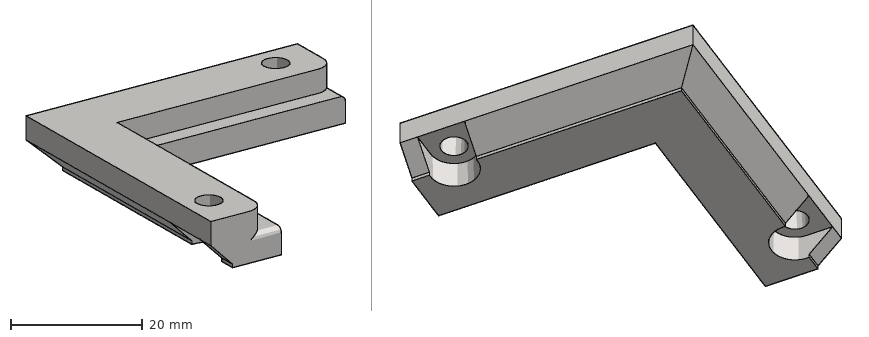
import cadquery as cq

leg_length = 50.0
upper_width = 10.0
upper_height = 4.0
corner_radius = 3.0

lower_width = 13.0
rim_height = 0.6
bevel = 4.0
end_round = 1.0
lower_height = rim_height + bevel
total_height = lower_height + upper_height

hole_diameter = 4.3
recess_width = 8.0
hole_from_side = 4.4
hole_from_end = 7.0


def angle_body(width, height):
    """L-shaped slab with both legs of the same width."""
    return (
        cq.Workplane("XY")
        .moveTo(0, 0)
        .lineTo(leg_length, 0)
        .lineTo(leg_length, width)
        .lineTo(width, width)
        .lineTo(width, leg_length)
        .lineTo(0, leg_length)
        .close()
        .extrude(height)
    )


def bevel_cutter(plane):
    """Wedge under an outer side, drawn across the leg and run along its length."""
    run = leg_length if plane == "YZ" else -leg_length
    return (
        cq.Workplane(plane)
        .moveTo(0, 0)
        .lineTo(bevel, 0)
        .lineTo(bevel, rim_height)
        .lineTo(0, lower_height)
        .close()
        .extrude(run)
    )


def make_ledge_body():
    """Wide lower slab with rounded top edges at the leg ends."""
    body = angle_body(lower_width, lower_height)
    for end_face in (">X", ">Y"):
        body = body.faces(end_face).edges(">Z").fillet(end_round)
    return body


def make_main_body():
    """Full-height narrow slab with the inner corner of each leg end rounded."""
    body = angle_body(upper_width, total_height)
    for x, y in ((leg_length, upper_width), (upper_width, leg_length)):
        corner = cq.selectors.NearestToPointSelector((x, y, total_height / 2))
        body = body.edges(corner).fillet(corner_radius)
    return body


def hole_cutter():
    """Through hole in the X leg with a round-ended recess below, open to the outer side."""
    hole_x = leg_length - hole_from_end
    recess_radius = recess_width / 2
    hole = (
        cq.Workplane("XY")
        .center(hole_x, hole_from_side)
        .circle(hole_diameter / 2)
        .extrude(total_height)
    )
    recess = (
        cq.Workplane("XY")
        .moveTo(hole_x - recess_radius, 0)
        .lineTo(hole_x + recess_radius, 0)
        .lineTo(hole_x + recess_radius, hole_from_side)
        .threePointArc(
            (hole_x, hole_from_side + recess_radius),
            (hole_x - recess_radius, hole_from_side),
        )
        .close()
        .extrude(lower_height)
    )
    return hole.union(recess)


def mirror_to_other_leg(cutter):
    """Reflect across the diagonal plane that swaps X and Y."""
    return cutter.mirror("YZ").rotate((0, 0, 0), (0, 0, 1), -90)


result = make_ledge_body().union(make_main_body())
for plane in ("XZ", "YZ"):
    result = result.cut(bevel_cutter(plane))
result = result.cut(hole_cutter()).cut(mirror_to_other_leg(hole_cutter()))